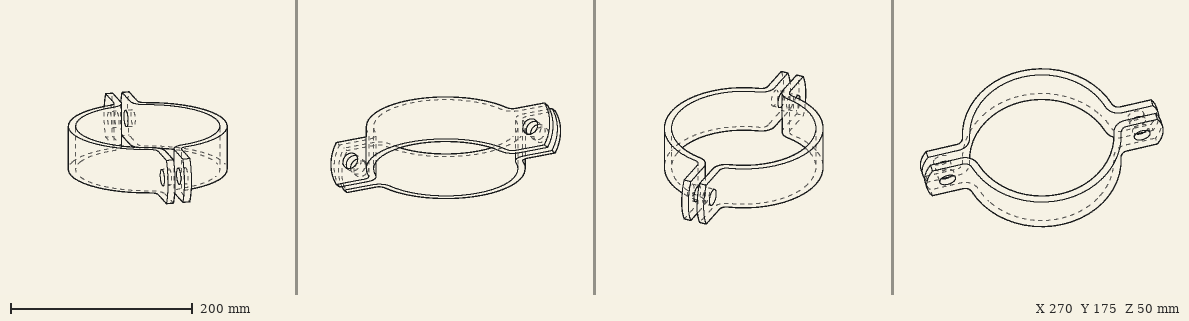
import cadquery as cq
import math

total_length = 270.0
total_depth = 175.0
band_height = 50.0
thickness = 8.0
ear_gap = 10.5
bend_radius = 8.0
hole_diameter = 18.0
hole_offset = 111.0
tip_radius = band_height

outer_radius = total_depth / 2
inner_radius = outer_radius - thickness
ear_inner_y = ear_gap / 2
ear_outer_y = ear_inner_y + thickness
half_length = total_length / 2

bend_y = ear_outer_y + bend_radius
bend_x = math.sqrt((outer_radius + bend_radius) ** 2 - bend_y ** 2)
bend_angle = math.atan2(bend_y, bend_x)
mid_bend_angle = (math.pi + bend_angle + 1.5 * math.pi) / 2


def ring_point(radius, side):
    """End of a ring arc, on the +X (side=1) or -X (side=-1) side."""
    return (side * radius * math.cos(bend_angle), radius * math.sin(bend_angle))


def bend_middle(radius, side):
    """Middle of a bend arc of the given radius."""
    x = bend_x + radius * math.cos(mid_bend_angle)
    y = bend_y + radius * math.sin(mid_bend_angle)
    return (side * x, y)


def make_strip():
    """Half ring on the +Y side with a bent ear at each end."""
    outer_bend = bend_radius + thickness
    return (
        cq.Workplane("XY")
        .workplane(offset=-band_height / 2)
        .moveTo(-half_length, ear_outer_y)
        .lineTo(-bend_x, ear_outer_y)
        .threePointArc(bend_middle(bend_radius, -1), ring_point(outer_radius, -1))
        .threePointArc((0, outer_radius), ring_point(outer_radius, 1))
        .threePointArc(bend_middle(bend_radius, 1), (bend_x, ear_outer_y))
        .lineTo(half_length, ear_outer_y)
        .lineTo(half_length, ear_inner_y)
        .lineTo(bend_x, ear_inner_y)
        .threePointArc(bend_middle(outer_bend, 1), ring_point(inner_radius, 1))
        .threePointArc((0, inner_radius), ring_point(inner_radius, -1))
        .threePointArc(bend_middle(outer_bend, -1), (-bend_x, ear_inner_y))
        .lineTo(-half_length, ear_inner_y)
        .close()
        .extrude(band_height)
    )


def make_tip_envelope():
    """Block along Y whose X ends are rounded like the ear tips."""
    half_height = band_height / 2
    tip_rise = tip_radius - math.sqrt(tip_radius ** 2 - half_height ** 2)
    corner_x = half_length - tip_rise
    return (
        cq.Workplane("XZ")
        .moveTo(-corner_x, -half_height)
        .lineTo(corner_x, -half_height)
        .threePointArc((half_length, 0), (corner_x, half_height))
        .lineTo(-corner_x, half_height)
        .threePointArc((-half_length, 0), (-corner_x, -half_height))
        .close()
        .extrude(-outer_radius)
    )


def make_bolt_holes():
    """Cutters for the bolt hole through each ear."""
    return (
        cq.Workplane("XZ")
        .pushPoints([(-hole_offset, 0), (hole_offset, 0)])
        .circle(hole_diameter / 2)
        .extrude(-outer_radius)
    )


def make_clamp_half(turn):
    """One clamp half, turned about the ring axis by the given degrees."""
    half = make_strip().intersect(make_tip_envelope()).cut(make_bolt_holes())
    return half.rotate((0, 0, 0), (0, 0, 1), turn)


clamp_halves = [make_clamp_half(turn).val() for turn in (0, 180)]

result = cq.Compound.makeCompound(clamp_halves)